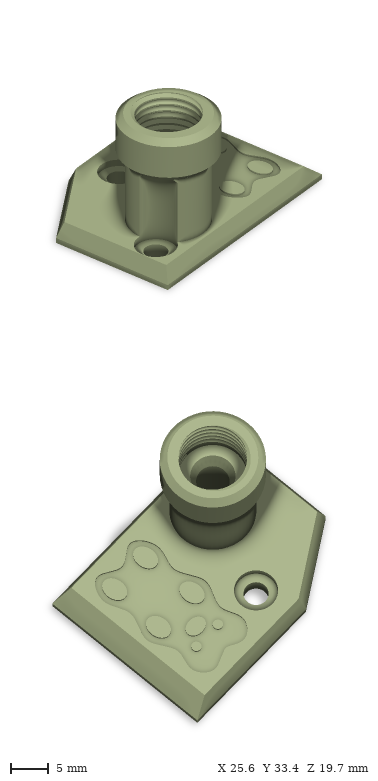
import cadquery as cq
import math

plate_width = 25.55
plate_length = 33.4
plate_height = 3.0
rim_height = 0.77
corner_cut_x = 7.0
corner_cut_y = 11.85
side_bevel = 1.05
back_bevel = 2.6

tower_x = 18.05
tower_y = 10.0
total_height = 19.7
stem_diameter = 11.5
collar_diameter = 14.0
collar_chamfer = 1.0
collar_chamfer_height = 0.77
collar_base_height = 13.1

thread_major_diameter = 10.15
thread_minor_diameter = 9.05
thread_pitch = 1.0
socket_depth = 6.0
bore_diameter = 4.4
countersink_diameter = 5.98
countersink_depth = 1.67

screw_positions = [(6.05, 14.93), (20.5, 4.0)]
screw_diameter = 3.3
head_diameter = 5.8
head_floor = 2.0
head_clearance_height = 12.35

pocket_axis_y = 24.08
pocket_depth = 0.27
island_height = 0.27
pocket_half_outline = [
    (3.47, 0.0),
    (2.9, 1.5),
    (2.55, 3.0),
    (4.68, 5.0),
    (7.8, 4.28),
    (11.9, 5.78),
    (16.25, 4.35),
    (20.05, 5.35),
    (23.0, 3.25),
    (21.58, 0.0),
]
oval_islands = [
    (12.15, 3.35, 3.67, 2.75),
    (12.15, -3.35, 3.67, 2.75),
    (20.1, 3.07, 3.67, 2.75),
    (20.1, -3.07, 3.67, 2.75),
    (8.55, 0.0, 2.3, 3.07),
]
pin_diameter = 1.37
pin_x = 6.55
pin_offset = 2.15


def cylinder(x, y, bottom, top, diameter):
    return cq.Workplane("XY", origin=(x, y, bottom)).circle(diameter / 2).extrude(top - bottom)


def cone(x, y, bottom, top, bottom_diameter, top_diameter):
    solid = cq.Solid.makeCone(
        bottom_diameter / 2, top_diameter / 2, top - bottom, cq.Vector(x, y, bottom), cq.Vector(0, 0, 1)
    )
    return cq.Workplane(obj=solid)


def plate():
    cut_slope = corner_cut_y / corner_cut_x
    slant = math.hypot(1, cut_slope)
    inner_cut_y = corner_cut_y + side_bevel * (slant - cut_slope)
    inner_cut_x = corner_cut_x + side_bevel * (slant - 1) / cut_slope
    bottom_outline = [
        (corner_cut_x, 0),
        (plate_width, 0),
        (plate_width, plate_length),
        (0, plate_length),
        (0, corner_cut_y),
    ]
    top_outline = [
        (inner_cut_x, side_bevel),
        (plate_width - side_bevel, side_bevel),
        (plate_width - side_bevel, plate_length - back_bevel),
        (side_bevel, plate_length - back_bevel),
        (side_bevel, inner_cut_y),
    ]
    rim = cq.Workplane("XY").polyline(bottom_outline).close().extrude(rim_height)
    bevelled = (
        cq.Workplane("XY", origin=(0, 0, rim_height))
        .polyline(bottom_outline)
        .close()
        .workplane(offset=plate_height - rim_height)
        .polyline(top_outline)
        .close()
        .loft(ruled=True)
    )
    return rim.union(bevelled)


def turned(half_profile):
    """Solid of revolution about the tower axis from (radius, height) points."""
    profile = cq.Workplane("XZ", origin=(tower_x, tower_y, 0)).polyline(half_profile).close()
    return profile.revolve(360, (0, 0, 0), (0, 1, 0))


def tower():
    stem_radius = stem_diameter / 2
    collar_radius = collar_diameter / 2
    neck_radius = collar_radius - collar_chamfer
    return turned(
        [
            (0, 0),
            (stem_radius, 0),
            (stem_radius, collar_base_height),
            (neck_radius, collar_base_height),
            (collar_radius, collar_base_height + collar_chamfer),
            (collar_radius, total_height - collar_chamfer_height),
            (neck_radius, total_height),
            (0, total_height),
        ]
    )


def socket_and_bore():
    floor = total_height - socket_depth
    socket_radius = thread_minor_diameter / 2
    bore_radius = bore_diameter / 2
    cavity = turned(
        [
            (0, 0),
            (bore_radius, 0),
            (bore_radius, floor - countersink_depth),
            (countersink_diameter / 2, floor),
            (socket_radius, floor),
            (socket_radius, total_height),
            (0, total_height),
        ]
    )
    return cavity.rotate((tower_x, tower_y, 0), (tower_x, tower_y, 1), 180)


def thread_groove():
    overlap = 0.07
    flank_angle = math.radians(30)
    minor_radius = thread_minor_diameter / 2 - overlap
    major_radius = thread_major_diameter / 2
    root_half = thread_pitch / 16
    mouth_half = root_half + (major_radius - minor_radius) * math.tan(flank_angle)
    start = total_height - socket_depth + thread_pitch / 2
    helix = cq.Wire.makeHelix(thread_pitch, socket_depth, major_radius)
    groove = (
        cq.Workplane("XZ")
        .polyline(
            [
                (minor_radius, -mouth_half),
                (major_radius, -root_half),
                (major_radius, root_half),
                (minor_radius, mouth_half),
            ]
        )
        .close()
        .sweep(cq.Workplane(obj=helix), isFrenet=True)
    )
    return groove.translate((tower_x, tower_y, start))


def screw_hole(x, y):
    cap_height = collar_base_height - head_clearance_height
    cap_diameter = head_diameter - 2 * cap_height
    shank = cylinder(x, y, 0, plate_height, screw_diameter)
    head = cylinder(x, y, head_floor, head_clearance_height, head_diameter)
    cap = cone(x, y, head_clearance_height, collar_base_height, head_diameter, cap_diameter)
    return shank.union(head).union(cap)


def pocket():
    mirrored_half = [(x, -offset) for x, offset in reversed(pocket_half_outline[1:-1])]
    outline = pocket_half_outline + mirrored_half
    floor = plate_height - pocket_depth
    base = cq.Workplane("XY", origin=(0, pocket_axis_y, floor))
    return base.spline(outline, periodic=True).close().extrude(pocket_depth)


def islands():
    floor = plate_height - pocket_depth
    base = cq.Workplane("XY", origin=(0, pocket_axis_y, floor))
    shapes = base.pushPoints([(pin_x, pin_offset), (pin_x, -pin_offset)])
    shapes = shapes.circle(pin_diameter / 2).extrude(island_height)
    for x, offset, width, length in oval_islands:
        shapes = shapes.union(base.center(x, offset).ellipse(width / 2, length / 2).extrude(island_height))
    return shapes


result = plate().union(tower()).cut(socket_and_bore()).cut(thread_groove())
for hole_x, hole_y in screw_positions:
    result = result.cut(screw_hole(hole_x, hole_y))
result = result.cut(pocket()).union(islands())